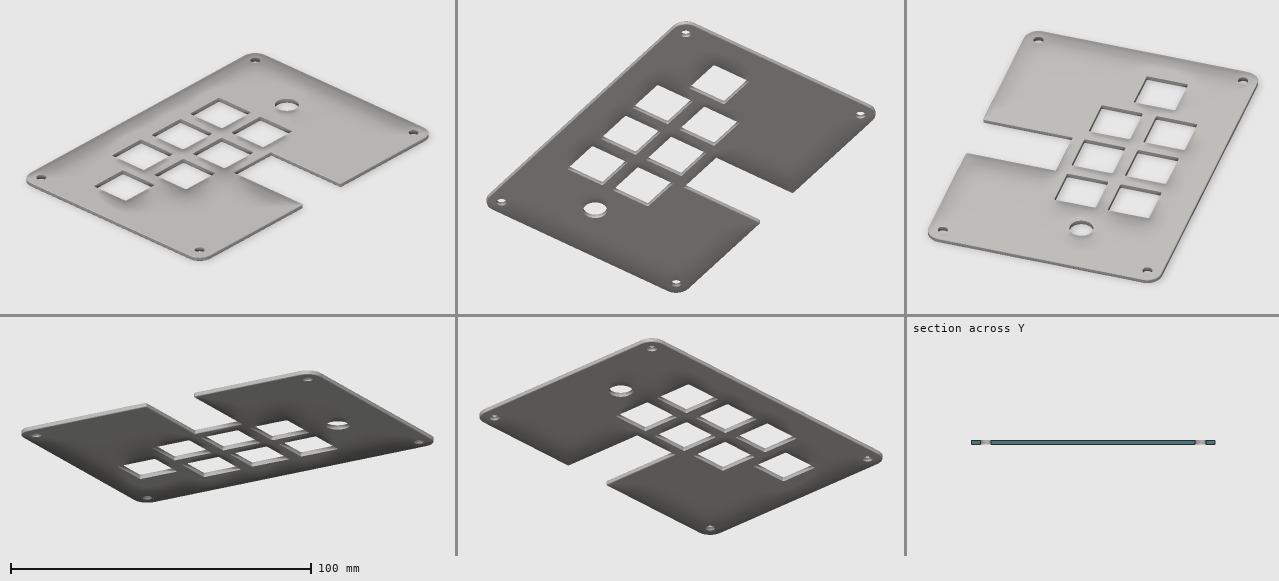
import cadquery as cq

width = 81.4
length = 115.6
thickness = 1.5
corner_radius = 5.0

screw_hole_diameter = 3.4
screw_spacing_x = width - 2 * corner_radius
screw_spacing_y = length - 2 * corner_radius

key_size = 14.5
key_corner_radius = 0.5
row_pitch = 19.1
lower_row_y = -19.0
left_key_x = -20.6
right_key_x = -2.0
lower_left_key_x = -21.0
bottom_key_x = -11.7
key_positions = [
    (left_key_x, row_pitch),
    (right_key_x, row_pitch),
    (left_key_x, 0),
    (right_key_x, 0),
    (lower_left_key_x, lower_row_y),
    (right_key_x, lower_row_y),
    (bottom_key_x, -2 * row_pitch),
]

round_opening_diameter = 8.0
round_opening_x = -8.0
round_opening_y = 38.0

notch_left = 9.4
notch_bottom = -7.0
notch_top = 11.3
notch_mouth_radius = 0.7

outline_chamfer = 0.18


def make_notch():
    notch_width = width / 2 - notch_left
    notch_height = notch_top - notch_bottom
    corner = cq.Workplane("XY").center(notch_left, notch_bottom)
    return corner.rect(notch_width, notch_height, centered=False).extrude(thickness)


def make_plate():
    plate = cq.Workplane("XY").rect(width, length).extrude(thickness)
    plate = plate.edges("|Z").fillet(corner_radius)
    plate = plate.cut(make_notch())
    mouth_corners = cq.selectors.BoxSelector(
        (width / 2 - notch_mouth_radius, notch_bottom - notch_mouth_radius, 0),
        (width / 2 + notch_mouth_radius, notch_top + notch_mouth_radius, thickness),
    )
    plate = plate.edges("|Z").edges(mouth_corners).fillet(notch_mouth_radius)
    return plate.faces("<Z or >Z").edges().chamfer(outline_chamfer)


def make_screw_holes():
    corners = cq.Workplane("XY").rect(screw_spacing_x, screw_spacing_y, forConstruction=True).vertices()
    return corners.circle(screw_hole_diameter / 2).extrude(thickness)


def make_key_openings():
    keys = cq.Workplane("XY").pushPoints(key_positions).rect(key_size, key_size).extrude(thickness)
    return keys.edges("|Z").fillet(key_corner_radius)


def make_round_opening():
    opening = cq.Workplane("XY").center(round_opening_x, round_opening_y)
    return opening.circle(round_opening_diameter / 2).extrude(thickness)


result = make_plate()
for cutter in (make_screw_holes(), make_key_openings(), make_round_opening()):
    result = result.cut(cutter)